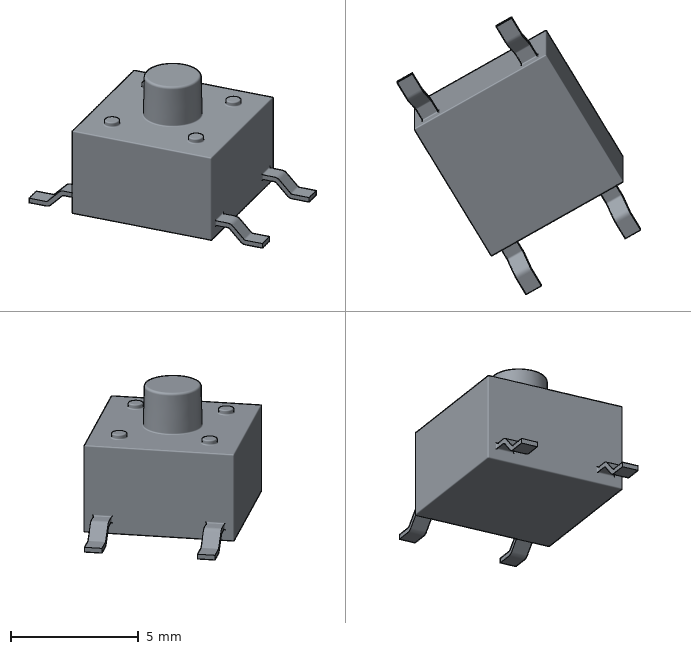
import cadquery as cq
import math

overall_length = 10.0
overall_height = 5.4

body_side = 6.0
body_height = 3.6
body_standoff = 0.1
body_edge_radius = 0.05
body_top = body_standoff + body_height

button_base_radius = 1.15
button_top_radius = 1.12
button_rim_radius = 0.1

peg_radius = 0.3
peg_height = 0.2
peg_spacing = 3.6
peg_rim_radius = 0.05

root_radius = 0.05

lead_width = 0.7
lead_thickness = 0.2
lead_spacing = 4.5
lead_rise = 0.6
foot_length = 0.72
bend_angle = 45.0
bend_inner_radius = 0.1
bend_outer_radius = bend_inner_radius + lead_thickness
lead_embed = 0.1


def make_body():
    """Rectangular housing with every edge lightly rounded."""
    block = cq.Workplane("XY").workplane(offset=body_standoff).box(
        body_side, body_side, body_height, centered=(True, True, False)
    )
    return block.edges().fillet(body_edge_radius)


def make_stem(base_radius, top_radius, height, rim_radius):
    """Round stem on the housing top, with a rounded rim and a concave flare at its root."""
    mid_inset = 1 - math.cos(math.radians(45))
    root_mid = root_radius * mid_inset
    rim_mid = rim_radius * mid_inset
    return (
        cq.Workplane("XZ")
        .moveTo(0, -root_radius)
        .lineTo(base_radius + root_radius, -root_radius)
        .lineTo(base_radius + root_radius, 0)
        .threePointArc((base_radius + root_mid, root_mid), (base_radius, root_radius))
        .lineTo(top_radius, height - rim_radius)
        .threePointArc((top_radius - rim_mid, height - rim_mid), (top_radius - rim_radius, height))
        .lineTo(0, height)
        .close()
        .revolve(360, (0, 0, 0), (0, 1, 0))
        .translate((0, 0, body_top))
    )


def bend_point(center, radius, angle):
    """Point on a bend at the given angle in degrees from +X."""
    turn = math.radians(angle)
    return (center[0] + radius * math.cos(turn), center[1] + radius * math.sin(turn))


def make_lead():
    """Lead on the -X side, centred on Y = 0: foot, sloped leg and shoulder."""
    tip_x = -overall_length / 2
    body_x = -body_side / 2
    inner_end_x = body_x + lead_embed
    shoulder_top = lead_rise + lead_thickness

    turn = math.radians(bend_angle)
    bend_radii = bend_inner_radius + bend_outer_radius
    leg_length = (lead_rise - bend_radii * (1 - math.cos(turn))) / math.sin(turn)
    bends_run = bend_radii * math.sin(turn) + leg_length * math.cos(turn)

    low = (tip_x + foot_length, bend_outer_radius)
    high = (low[0] + bends_run, lead_rise - bend_inner_radius)
    low_mid = -90 + bend_angle / 2
    low_end = -90 + bend_angle
    high_mid = 90 + bend_angle / 2
    high_start = 90 + bend_angle

    return (
        cq.Workplane("XZ")
        .moveTo(tip_x, 0)
        .lineTo(low[0], 0)
        .threePointArc(
            bend_point(low, bend_outer_radius, low_mid),
            bend_point(low, bend_outer_radius, low_end),
        )
        .lineTo(*bend_point(high, bend_inner_radius, high_start))
        .threePointArc(
            bend_point(high, bend_inner_radius, high_mid),
            bend_point(high, bend_inner_radius, 90),
        )
        .lineTo(inner_end_x, lead_rise)
        .lineTo(inner_end_x, shoulder_top)
        .lineTo(high[0], shoulder_top)
        .threePointArc(
            bend_point(high, bend_outer_radius, high_mid),
            bend_point(high, bend_outer_radius, high_start),
        )
        .lineTo(*bend_point(low, bend_inner_radius, low_end))
        .threePointArc(
            bend_point(low, bend_inner_radius, low_mid),
            bend_point(low, bend_inner_radius, -90),
        )
        .lineTo(tip_x, lead_thickness)
        .close()
        .extrude(lead_width / 2, both=True)
    )


def is_lead_root(edge):
    """True for an edge lying on a housing end wall around the shoulder of a lead."""
    tolerance = 1e-05
    box = edge.BoundingBox()
    on_end_wall = box.xlen < tolerance and abs(abs(box.xmin) - body_side / 2) < tolerance
    above_shoulder_bottom = box.zmin > lead_rise - tolerance
    below_shoulder_top = box.zmax < lead_rise + lead_thickness + tolerance
    return on_end_wall and above_shoulder_bottom and below_shoulder_top


result = make_body()

button = make_stem(button_base_radius, button_top_radius, overall_height - body_top, button_rim_radius)
result = result.union(button)

peg = make_stem(peg_radius, peg_radius, peg_height, peg_rim_radius)
lead = make_lead()
for x_side in (-1, 1):
    side_lead = lead if x_side < 0 else lead.mirror("YZ")
    for y_side in (-1, 1):
        result = result.union(peg.translate((x_side * peg_spacing / 2, y_side * peg_spacing / 2, 0)))
        result = result.union(side_lead.translate((0, y_side * lead_spacing / 2, 0)))

root_edges = [edge for edge in result.edges().vals() if is_lead_root(edge)]
result = result.newObject(root_edges).fillet(root_radius)